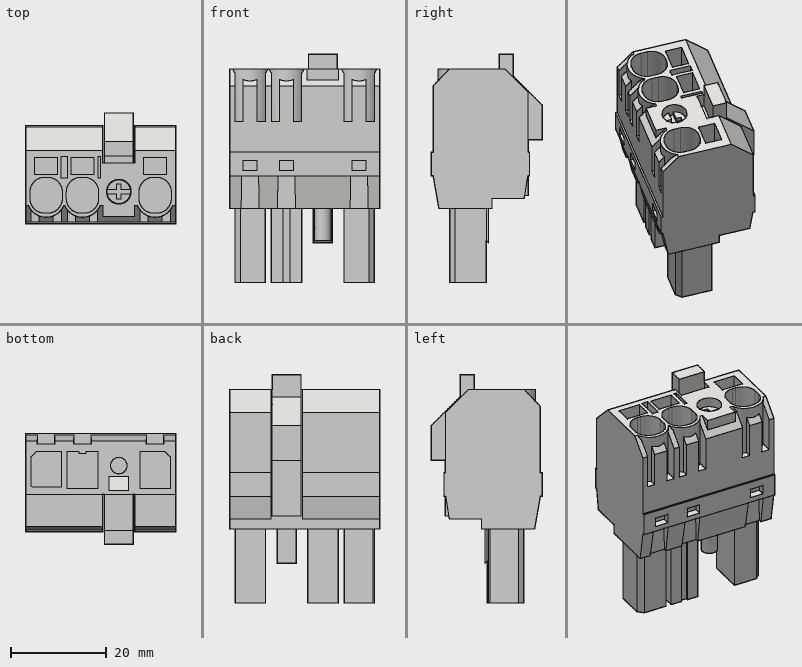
import cadquery as cq


pitch = 7.6
first_column_x = 4.3
wire_columns = [first_column_x + i * pitch for i in (0, 1, 3)]
screw_x = first_column_x + 2 * pitch
screw_y = 6.73

width = 31.4
band_depth = 20.55
body_front = 0.4
body_back = 20.22
top_z = 44.65
band_top_z = 27.25
band_bottom_z = 22.28
bottom_z = 15.45
rear_bottom_z = 17.55
rear_step_y = 12.75
front_chamfer_depth = 3.45
front_chamfer_height = 3.6
back_chamfer = 4.85
front_taper_bottom_y = 1.57
back_taper_bottom_y = 19.4
back_taper_top_y = 20.15

funnel_width = 6.75
funnel_length = 7.5
funnel_corner = 3.05
funnel_front = 2.25
funnel_depth = 14.3
collar_radius = 4.0
collar_y = 5.4
pocket_width = 6.35
pocket_floor_z = 33.65
tab_width = 2.95

window_width = 4.8
window_front = 10.35
window_back = 13.9
window_depth = 11.92
window_floor_z = top_z - window_depth
top_slot_front = 9.55
top_slot_back = 14.0
top_slot_depth = 4.75
top_slots = [(7.45, 8.8), (15.1, 15.65)]

band_window_width = 2.95
band_window_bottom_z = 23.4
band_window_top_z = 25.45
band_window_depth = 1.57
groove_floor_y = 2.25
groove_top_width = 3.55
groove_bottom_width = 3.75

prong_width = 6.4
prong_front = 3.8
prong_back = 11.5
prong_chamfer = 1.15
left_prong_back = 11.2
prong_back_chamfer = 0.35
prong_groove_width = 1.4
prong_groove_depth = 0.45

key_width = 4.0
key_front = 8.95
key_back = 11.95
key_tip_z = 8.3
key_bevel_z = 11.3

latch_width = 6.05
slot_clearance = 0.3
latch_post_front = 14.15
latch_post_back = 17.15
latch_back = 20.25
latch_hook_back = 23.2
latch_top_z = 47.7
latch_shoulder_z = 41.5
latch_hook_bottom_z = 29.8
latch_bottom_z = 18.15
latch_slope_bottom_z = 37.05
latch_slope_top_z = latch_slope_bottom_z + latch_hook_back - latch_post_back
latch_slot_width = latch_width + 2 * slot_clearance

screw_block_front = 1.57
screw_hole_radius = 2.58
screw_head_radius = 2.5
screw_head_top_z = 42.55
screw_head_bottom_z = 39.7
shank_radius = 1.7
shank_tip_z = 8.8
drive_slot_width = 0.95
drive_cross_length = 3.15
drive_depth = 0.95


def box(x0, x1, y0, y1, z0, z1):
    return cq.Workplane("XY").box(x1 - x0, y1 - y0, z1 - z0, centered=False).translate((x0, y0, z0))


def column_box(x, box_width, y0, y1, z0, z1):
    """Box centred on x."""
    return box(x - box_width / 2, x + box_width / 2, y0, y1, z0, z1)


def side_extrusion(points, x0, x1):
    """Extrude a (Y, Z) outline from x0 to x1."""
    return cq.Workplane("YZ").polyline(points).close().extrude(x1 - x0).translate((x0, 0, 0))


def cylinder(x, y, radius, z0, z1):
    return cq.Workplane("XY").center(x, y).circle(radius).extrude(z1 - z0).translate((0, 0, z0))


def screw_cylinder(radius, z0, z1):
    """Vertical cylinder on the screw axis."""
    return cylinder(screw_x, screw_y, radius, z0, z1)


def funnel_bore(x):
    """Vertical bore with a rounded-rectangle section."""
    funnel_back = funnel_front + funnel_length
    bore = column_box(x, funnel_width, funnel_front, funnel_back, top_z - funnel_depth, top_z)
    return bore.edges("|Z").fillet(funnel_corner)


def make_shell():
    outline = [
        (front_taper_bottom_y, bottom_z),
        (body_front, band_bottom_z),
        (0, band_bottom_z),
        (0, band_top_z),
        (body_front, band_top_z),
        (body_front, top_z - front_chamfer_height),
        (body_front + front_chamfer_depth, top_z),
        (body_back - back_chamfer, top_z),
        (body_back, top_z - back_chamfer),
        (body_back, band_top_z),
        (band_depth, band_top_z),
        (band_depth, band_bottom_z),
        (back_taper_top_y, band_bottom_z),
        (back_taper_bottom_y, rear_bottom_z),
        (rear_step_y, rear_bottom_z),
        (rear_step_y, bottom_z),
    ]
    shell = side_extrusion(outline, 0, width)
    screw_block = column_box(screw_x, latch_slot_width, screw_block_front, screw_y, pocket_floor_z, top_z)
    return shell.union(screw_block)


def add_wire_entry(housing, x):
    """Funnel standing in a front pocket, braced by a central tab, with its test window."""
    collar = cylinder(x, collar_y, collar_radius, pocket_floor_z, top_z)
    pocket = column_box(x, pocket_width, 0, collar_y, pocket_floor_z, top_z)
    tab = column_box(x, tab_width, 0, collar_y, pocket_floor_z, top_z)
    window = column_box(x, window_width, window_front, window_back, window_floor_z, top_z)
    return housing.cut(pocket.cut(tab)).union(collar).cut(funnel_bore(x)).cut(window)


def cut_front_details(housing, x):
    """Band window and the flared groove below the band."""
    band_window = column_box(
        x, band_window_width, 0, band_window_depth, band_window_bottom_z, band_window_top_z
    )
    top_half = groove_top_width / 2
    bottom_half = groove_bottom_width / 2
    groove = (
        cq.Workplane("XZ")
        .polyline([
            (x - bottom_half, bottom_z),
            (x + bottom_half, bottom_z),
            (x + top_half, band_bottom_z),
            (x - top_half, band_bottom_z),
        ])
        .close()
        .extrude(-groove_floor_y)
    )
    return housing.cut(band_window).cut(groove)


def make_prong(x, back):
    return column_box(x, prong_width, prong_front, back, 0, bottom_z)


def make_prongs():
    """Three prongs, each keyed differently."""
    left_x, middle_x, right_x = wire_columns
    left = make_prong(left_x, left_prong_back).edges("|Z and <X and <Y").chamfer(prong_chamfer)
    left = left.edges("|Z and <X and >Y").chamfer(prong_back_chamfer)
    groove = column_box(
        middle_x, prong_groove_width, prong_front, prong_front + prong_groove_depth, 0, bottom_z
    )
    middle = make_prong(middle_x, prong_back).cut(groove)
    right = make_prong(right_x, prong_back).edges("|Z and >X and <Y").chamfer(prong_chamfer)
    return [left, middle, right]


def make_key_plate():
    outline = [
        (key_front, bottom_z),
        (key_front, key_bevel_z),
        (key_back, key_tip_z),
        (key_back, bottom_z),
    ]
    return side_extrusion(outline, screw_x - key_width / 2, screw_x + key_width / 2)


def make_housing():
    housing = make_shell()
    for x in wire_columns:
        housing = add_wire_entry(housing, x)
        housing = cut_front_details(housing, x)
    for x0, x1 in top_slots:
        housing = housing.cut(box(x0, x1, top_slot_front, top_slot_back, top_z - top_slot_depth, top_z))
    housing = housing.cut(
        column_box(screw_x, latch_slot_width, rear_step_y, band_depth, rear_bottom_z, top_z)
    )
    housing = housing.cut(screw_cylinder(screw_hole_radius, screw_head_bottom_z, top_z))
    housing = housing.cut(screw_cylinder(shank_radius, bottom_z, screw_head_bottom_z))
    for prong in make_prongs():
        housing = housing.union(prong)
    return housing.union(make_key_plate())


def make_latch():
    outline = [
        (rear_step_y, latch_bottom_z),
        (rear_step_y, latch_shoulder_z),
        (latch_post_front, latch_shoulder_z),
        (latch_post_front, latch_top_z),
        (latch_post_back, latch_top_z),
        (latch_post_back, latch_slope_top_z),
        (latch_hook_back, latch_slope_bottom_z),
        (latch_hook_back, latch_hook_bottom_z),
        (latch_back, latch_hook_bottom_z),
        (latch_back, latch_bottom_z),
    ]
    return side_extrusion(outline, screw_x - latch_width / 2, screw_x + latch_width / 2)


def make_screw():
    head = screw_cylinder(screw_head_radius, screw_head_bottom_z, screw_head_top_z)
    shank = screw_cylinder(shank_radius, shank_tip_z, screw_head_bottom_z)
    drive_floor_z = screw_head_top_z - drive_depth
    slot = column_box(
        screw_x, 2 * screw_head_radius, screw_y - drive_slot_width / 2,
        screw_y + drive_slot_width / 2, drive_floor_z, screw_head_top_z
    )
    cross = column_box(
        screw_x, drive_slot_width, screw_y - drive_cross_length / 2,
        screw_y + drive_cross_length / 2, drive_floor_z, screw_head_top_z
    )
    return head.union(shank).cut(slot).cut(cross)


housing = make_housing()
latch = make_latch()
screw = make_screw()

result = cq.Compound.makeCompound([housing.val(), latch.val(), screw.val()])